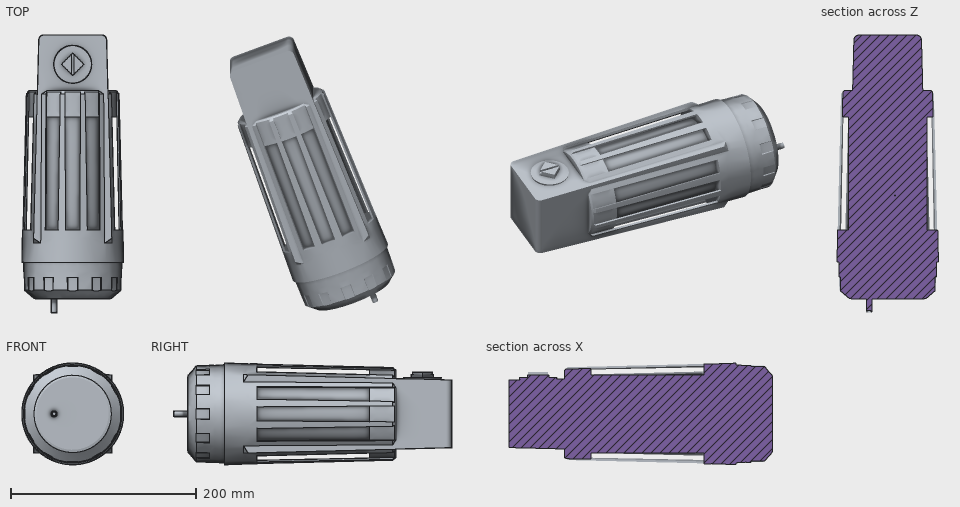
import cadquery as cq
import math

LENGTH = 300.0

HEAD_REAR_HALF = 36.5
HEAD_TAPER = math.radians(1.45)
HEAD_CORNER_RADIUS = 6.0
FIN_END = 224.8

BODY_START = 60.0
BODY_END = 245.5
BODY_MAX_RADIUS = 110.0 / 2
BODY_TAPER = math.radians(1.35)
BODY_CHAMFER = 4.0
SHELL_THICKNESS = 2.0
CORE_RADIUS = 85.0 / 2
CAVITY_START = 88.8
WINDOW_END = 210.5
WINDOW_REAR_WIDTH = 17.0
WINDOW_FRONT_WIDTH = 15.3
WINDOW_SPACING = 25

CAP_REAR_RADIUS = 53.0
CAP_RIM_RADIUS = 52.2
CAP_RIM = 275.5
CAP_FACE_RADIUS = 39.0
CAP_BEVEL_WIDTH = 2.7
CAP_BEVEL_LENGTH = 0.5
CAP_FACE = 285.0
GRIP_START = 261.7
GRIP_WIDTH = 13.2
GRIP_FLOOR_WIDTH = 10.5
GRIP_FLOOR_RADIUS = 51.3
GRIP_COUNT = 12

PIN_X = -20.0
PIN_DIAMETER = 6.5
PIN_TIP_DIAMETER = 6.0
PIN_TIP_LENGTH = 2.0
BORE_DIAMETER = 4.0
BORE_MOUTH_DIAMETER = 4.8
BORE_DEPTH = 2.5

PLATE_STATION = 31.8
PLATE_TOP_DIAMETER = 41.0
PLATE_BOTTOM_DIAMETER = 40.0
PLATE_TOP = 39.3
PLATE_THICKNESS = 3.0
SCREW_SIDE = 17.0
SCREW_TOP = 45.0
SLOT_WIDTH = 2.7
SLOT_DEPTH = 2.7

SIDE_ANGLES = (0, 90, 180, 270)
OUTSIDE_REACH = BODY_MAX_RADIUS + 15


def revolve(profile):
    """Turn (radius, station) points into a solid around the Y axis."""
    points = [(radius, -station) for radius, station in profile]
    return cq.Workplane("XY").polyline(points).close().revolve(360, (0, 0), (0, 1))


def body_radius(station):
    return BODY_MAX_RADIUS - (BODY_END - station) * math.tan(BODY_TAPER)


def around_axis(solid, angle):
    return solid.rotate((0, 0, 0), (0, 1, 0), angle)


def make_head():
    front_half = HEAD_REAR_HALF + FIN_END * math.tan(HEAD_TAPER)
    outline = [
        (-HEAD_REAR_HALF, 0),
        (HEAD_REAR_HALF, 0),
        (front_half, -FIN_END),
        (-front_half, -FIN_END),
    ]
    plan = cq.Workplane("XY").polyline(outline).close().extrude(OUTSIDE_REACH, both=True)
    plan = plan.edges("|Z and >Y").fillet(HEAD_CORNER_RADIUS)
    side = cq.Workplane("XY").polyline(outline).close().extrude(OUTSIDE_REACH, both=True)
    head = plan.intersect(around_axis(side, 90))
    end_radius = body_radius(FIN_END)
    runout = OUTSIDE_REACH - end_radius
    trim = revolve([
        (0, 0),
        (OUTSIDE_REACH, 0),
        (OUTSIDE_REACH, FIN_END - runout),
        (end_radius, FIN_END),
        (0, FIN_END),
    ])
    return head.intersect(trim)


def make_body():
    chamfer_end = BODY_START + BODY_CHAMFER
    shoulder_radius = body_radius(chamfer_end)
    return revolve([
        (0, BODY_START),
        (shoulder_radius - BODY_CHAMFER, BODY_START),
        (shoulder_radius, chamfer_end),
        (BODY_MAX_RADIUS, BODY_END),
        (0, BODY_END),
    ])


def make_cavity():
    return revolve([
        (CORE_RADIUS, CAVITY_START),
        (body_radius(CAVITY_START) - SHELL_THICKNESS, CAVITY_START),
        (body_radius(WINDOW_END) - SHELL_THICKNESS, WINDOW_END),
        (CORE_RADIUS, WINDOW_END),
    ])


def make_window():
    """Tapered window on the +Z side, as deep as the shell is thick."""
    prism = (
        cq.Workplane("XY")
        .polyline([
            (-WINDOW_REAR_WIDTH / 2, -BODY_START),
            (WINDOW_REAR_WIDTH / 2, -BODY_START),
            (WINDOW_FRONT_WIDTH / 2, -WINDOW_END),
            (-WINDOW_FRONT_WIDTH / 2, -WINDOW_END),
        ])
        .close()
        .extrude(OUTSIDE_REACH)
    )
    shell_inside = revolve([
        (0, BODY_START),
        (body_radius(BODY_START) - SHELL_THICKNESS, BODY_START),
        (body_radius(WINDOW_END) - SHELL_THICKNESS, WINDOW_END),
        (0, WINDOW_END),
    ])
    return prism.cut(shell_inside)


def make_cap():
    cap = revolve([
        (0, BODY_END),
        (CAP_REAR_RADIUS, BODY_END),
        (CAP_RIM_RADIUS, CAP_RIM),
        (CAP_FACE_RADIUS + CAP_BEVEL_WIDTH, CAP_FACE - CAP_BEVEL_LENGTH),
        (CAP_FACE_RADIUS, CAP_FACE),
        (0, CAP_FACE),
    ])
    grip = (
        cq.Workplane("XZ", origin=(0, -GRIP_START, 0))
        .polyline([
            (-GRIP_FLOOR_WIDTH / 2, GRIP_FLOOR_RADIUS),
            (GRIP_FLOOR_WIDTH / 2, GRIP_FLOOR_RADIUS),
            (GRIP_WIDTH / 2, CAP_REAR_RADIUS),
            (-GRIP_WIDTH / 2, CAP_REAR_RADIUS),
        ])
        .close()
        .extrude(CAP_FACE - GRIP_START)
    )
    for index in range(GRIP_COUNT):
        cap = cap.cut(around_axis(grip, index * 360 / GRIP_COUNT))
    return cap


def make_pin():
    tip = cq.Workplane("XZ", origin=(PIN_X, 0, 0)).workplane(offset=LENGTH)
    pin = tip.circle(PIN_DIAMETER / 2).extrude(CAP_FACE - LENGTH)
    tip_inset = (PIN_DIAMETER - PIN_TIP_DIAMETER) / 2
    pin = pin.faces("<Y").chamfer(PIN_TIP_LENGTH, tip_inset)
    bore = tip.circle(BORE_DIAMETER / 2).extrude(-BORE_DEPTH)
    mouth_depth = (BORE_MOUTH_DIAMETER - BORE_DIAMETER) / 2
    mouth = tip.circle(BORE_MOUTH_DIAMETER / 2).extrude(-mouth_depth, taper=45)
    return pin.cut(bore).cut(mouth)


def make_screw():
    top = cq.Workplane("XY", origin=(0, -PLATE_STATION, PLATE_TOP))
    flare = math.atan((PLATE_TOP_DIAMETER - PLATE_BOTTOM_DIAMETER) / 2 / PLATE_THICKNESS)
    plate = top.circle(PLATE_TOP_DIAMETER / 2).extrude(-PLATE_THICKNESS, taper=math.degrees(flare))
    square = top.transformed(rotate=(0, 0, 45)).rect(SCREW_SIDE, SCREW_SIDE)
    screw = square.extrude(SCREW_TOP - PLATE_TOP)
    slot = (
        top.workplane(offset=SCREW_TOP - PLATE_TOP)
        .rect(SLOT_WIDTH, PLATE_TOP_DIAMETER)
        .extrude(-SLOT_DEPTH)
    )
    return plate.union(screw.cut(slot))


result = make_head().union(make_body()).cut(make_cavity())
window = make_window()
for side_angle in SIDE_ANGLES:
    for step in (-1, 0, 1):
        result = result.cut(around_axis(window, side_angle + step * WINDOW_SPACING))
result = result.union(make_cap()).union(make_pin()).union(make_screw())